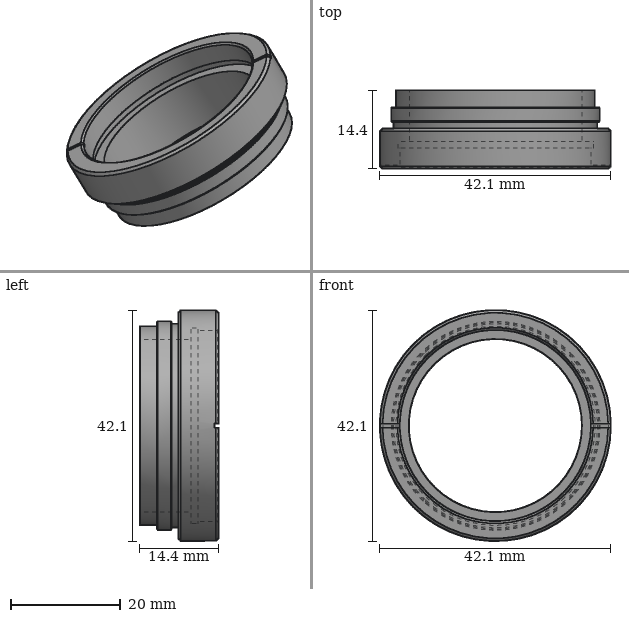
import cadquery as cq

length = 14.38
flange_diameter = 42.15
flange_length = 7.4
flange_chamfer = 0.5

neck_diameter = 37.23
neck_length = 1.15
collar_diameter = 38.1
collar_length = 2.75
collar_chamfer = 0.2
tail_diameter = 36.35

bore_diameter = 31.55
counterbore_diameter = 34.85
counterbore_depth = 5.1
counterbore_mouth_diameter = 35.7
counterbore_mouth_depth = 0.3
undercut_diameter = 35.7
undercut_width = 1.22

slot_width = 0.75
slot_depth = 0.75

collar_start = flange_length + neck_length
tail_start = collar_start + collar_length


def cylinder(diameter, start, end):
    """Solid cylinder along +Y between two distances from the front face."""
    return (
        cq.Workplane("XZ", origin=(0, start, 0))
        .circle(diameter / 2)
        .extrude(start - end)
    )


flange = cylinder(flange_diameter, 0, flange_length).edges().chamfer(flange_chamfer)
neck = cylinder(neck_diameter, flange_length, collar_start)
collar = cylinder(collar_diameter, collar_start, tail_start).edges().chamfer(collar_chamfer)
tail = cylinder(tail_diameter, tail_start, length)
body = flange.union(neck).union(collar).union(tail)

body = body.cut(cylinder(bore_diameter, 0, length))
counterbore = cylinder(counterbore_diameter, 0, counterbore_depth)
undercut = cylinder(undercut_diameter, counterbore_depth - undercut_width, counterbore_depth)
mouth = cq.Workplane(
    cq.Solid.makeCone(
        counterbore_mouth_diameter / 2,
        counterbore_diameter / 2,
        counterbore_mouth_depth,
        pnt=cq.Vector(0, 0, 0),
        dir=cq.Vector(0, 1, 0),
    )
)
body = body.cut(counterbore).cut(undercut).cut(mouth)

slot = cq.Workplane("XY").box(flange_diameter, slot_depth, slot_width, centered=(True, False, True))
result = body.cut(slot)